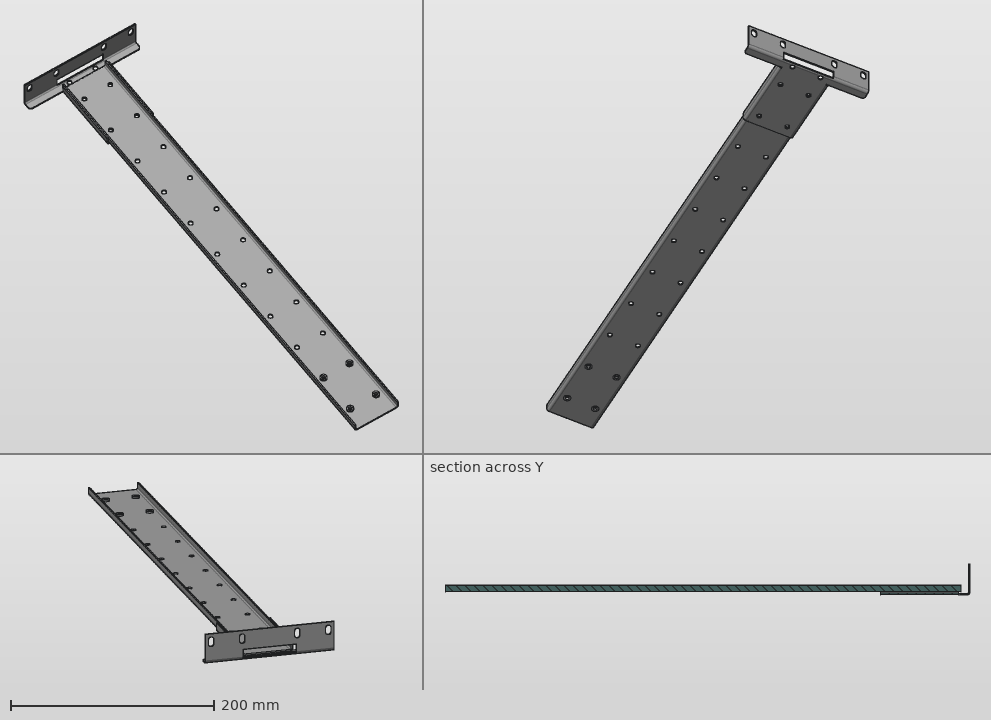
import cadquery as cq

length = 516.0
plate_width = 132.5
plate_height = 30.5
sheet = 1.5

bend_radius = 2 * sheet

tray_start = 9.0
tray_width = 52.0
tray_floor = sheet
wall_top = 10.0

channel_start = 11.5
channel_end = 88.0
channel_width = tray_width + 2 * sheet
foot_length = 10.5
foot_corner = 3.0
cheek_corner = 1.5

window_width = channel_width
window_top = 11.0
window_bottom = sheet

slot_width = 5.5
slot_height = 10.0
slot_center_z = 22.0
slot_offsets = (28.5, 60.5)

hole_diameter = 4.8
row_offset = 15.5
foot_hole_x = 5.0
first_hole_x = 31.0
last_hole_x = 492.0
hole_count = 11
nut_places = 2
hole_pitch = (last_hole_x - first_hole_x) / (hole_count - 1)

nut_diameter = 7.0
nut_bore = 3.5
nut_top = 4.5

hole_places = [first_hole_x + i * hole_pitch for i in range(hole_count)]
open_places = hole_places[:-nut_places]
nut_positions = [(x, y) for x in hole_places[-nut_places:] for y in (-row_offset, row_offset)]


def channel(x_start, x_end, width, bottom):
    """Sheet-metal channel along X with rounded lower edges, open at the top."""
    run = x_end - x_start

    def bar(inset):
        bar_width = width - 2 * inset
        bar_bottom = bottom + inset
        return (
            cq.Workplane("XY")
            .box(run, bar_width, wall_top - bar_bottom, centered=(False, True, False))
            .edges("|X and <Z")
            .fillet(bend_radius - inset)
            .translate((x_start, 0, bar_bottom))
        )

    return bar(0).cut(bar(sheet))


def floor_holes(x_places, diameter):
    """Cutters for both rows of holes at the given places along X."""
    points = [(x, y) for x in x_places for y in (-row_offset, row_offset)]
    return cq.Workplane("XY").pushPoints(points).circle(diameter / 2).extrude(wall_top)


def upright_plate():
    """Full-width plate bent at its lower edge into the foot."""
    inner_bend = bend_radius - sheet
    outer = (
        cq.Workplane("XY")
        .box(foot_length, plate_width, plate_height, centered=(False, True, False))
        .edges("<X and <Z")
        .fillet(bend_radius)
    )
    inner = (
        cq.Workplane("XY")
        .box(foot_length, plate_width, plate_height, centered=(False, True, False))
        .edges("<X and <Z")
        .fillet(inner_bend)
        .translate((sheet, 0, sheet))
    )
    return outer.cut(inner).edges("|Z and >X").fillet(foot_corner)


def plate_window():
    """Cutter for the window through the thickness of the upright plate, down to its foot."""
    return (
        cq.Workplane("XY")
        .box(sheet, window_width, window_top - window_bottom, centered=(False, True, False))
        .translate((0, 0, window_bottom))
    )


def plate_slots():
    """Cutters for the four upright slots."""
    points = [(side * offset, slot_center_z) for offset in slot_offsets for side in (-1, 1)]
    return cq.Workplane("YZ").pushPoints(points).slot2D(slot_height, slot_width, 90).extrude(sheet)


def make_bracket():
    cheeks = channel(channel_start, channel_end, channel_width, 0)
    cheeks = cheeks.edges("|Y and >X and >Z").fillet(cheek_corner)
    floor_bridge = cq.Workplane("XY").box(
        channel_start - bend_radius, channel_width - 2 * bend_radius, sheet, centered=(False, True, False)
    ).translate((bend_radius, 0, 0))
    bracket_holes = [x for x in open_places if x < channel_end]
    return (
        upright_plate()
        .union(floor_bridge)
        .union(cheeks)
        .cut(plate_window())
        .cut(plate_slots())
        .cut(floor_holes([foot_hole_x, *bracket_holes], hole_diameter))
    )


def make_tray():
    return (
        channel(tray_start, length, tray_width, tray_floor)
        .cut(floor_holes(open_places, hole_diameter))
        .cut(floor_holes(hole_places[-nut_places:], nut_diameter))
    )


def make_nut(x, y):
    return (
        cq.Workplane("XY", origin=(x, y, tray_floor))
        .circle(nut_diameter / 2)
        .circle(nut_bore / 2)
        .extrude(nut_top - tray_floor)
    )


bracket = make_bracket()
tray = make_tray()
nuts = [make_nut(x, y) for x, y in nut_positions]

result = cq.Compound.makeCompound([bracket.val(), tray.val(), *[nut.val() for nut in nuts]])